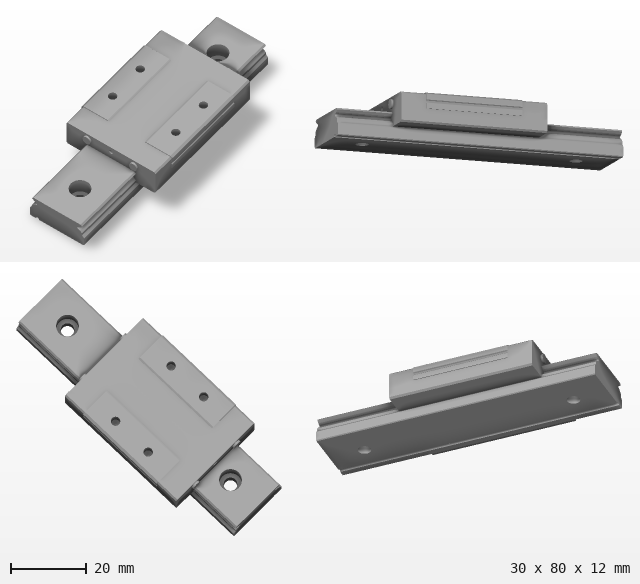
import cadquery as cq
import math

RAIL_LENGTH = 80.0
TOTAL_WIDTH = 30.0
TOTAL_HEIGHT = 12.0

RAIL_WIDTH = 18.0
RAIL_HEIGHT = 7.5
RAIL_EDGE_CHAMFER = 0.2
BASE_HEIGHT = 2.9
SHOULDER_TOP = 4.4
SHOULDER_STEP = 0.7
HEAD_CHAMFER = 0.5
RACE_Z = 5.8
RACE_DEPTH = 1.7
RACE_MOUTH_DEPTH = 0.7
RACE_MOUTH_HALF = 0.68
RACE_NOSE_DEPTH = 1.3
RACE_NOSE_HALF = 0.4
MARK_GROOVE_X = -6.5
MARK_GROOVE_RADIUS = 0.6

RAIL_HOLE_SPACING = 60.0
RAIL_HOLE_DIAMETER = 3.6
COUNTERBORE_DIAMETER = 6.0
COUNTERBORE_DEPTH = 4.5

SLIDER_Y = 3.9
SLIDER_LENGTH = 41.0
CARRIAGE_LENGTH = 27.0
SLIDER_BOTTOM = 3.6
SLIDER_CHAMFER = 0.5
CAP_WIDTH = 29.6
CAP_TOP = 11.8
CAP_LENGTH = (SLIDER_LENGTH - CARRIAGE_LENGTH) / 2

CARRIAGE_TOP_HALF = CAP_WIDTH / 2 - SLIDER_CHAMFER
SIDE_STEP_Z = 7.6
SIDE_GROOVE_Z = 9.5
SIDE_GROOVE_MOUTH = 1.0
SIDE_GROOVE_FLOOR = 0.5
SIDE_GROOVE_DEPTH = 0.2
RECESS_TOP_WIDTH = 12.8
RECESS_FLOOR_WIDTH = 11.8
TAPPED_SPACING_X = 21.0
TAPPED_SPACING_Y = 12.0
TAPPED_DIAMETER = 2.5
TAPPED_DEPTH = 3.0
DRILL_POINT_ANGLE = 118.0

SCREW_X = 7.7
SCREW_Z = 9.8
SCREW_HEAD_DIAMETER = 2.6
SCREW_HEAD_HEIGHT = 0.6
PORT_Z = 10.0
PORT_DIAMETER = 1.4


def extrude_along_y(outline, y_centre, length):
    """Turn an XZ outline into a prism centred on y_centre."""
    return outline.extrude(length / 2, both=True).translate((0, y_centre, 0))


def rail_prism():
    """Rail bar with its ball races, without holes and reference groove."""
    half = RAIL_WIDTH / 2
    shoulder = half - SHOULDER_STEP
    mouth = shoulder - RACE_MOUTH_DEPTH
    nose = shoulder - RACE_NOSE_DEPTH
    race_bottom = shoulder - RACE_DEPTH
    mouth_low, mouth_high = RACE_Z - RACE_MOUTH_HALF, RACE_Z + RACE_MOUTH_HALF
    nose_low, nose_high = RACE_Z - RACE_NOSE_HALF, RACE_Z + RACE_NOSE_HALF
    outline = (
        cq.Workplane("XZ")
        .moveTo(0, 0)
        .lineTo(half - RAIL_EDGE_CHAMFER, 0)
        .lineTo(half, RAIL_EDGE_CHAMFER)
        .lineTo(half, BASE_HEIGHT)
        .lineTo(shoulder, BASE_HEIGHT + SHOULDER_STEP)
        .lineTo(shoulder, SHOULDER_TOP)
        .lineTo(mouth, mouth_low)
        .lineTo(nose, nose_low)
        .threePointArc((race_bottom, RACE_Z), (nose, nose_high))
        .lineTo(mouth, mouth_high)
        .lineTo(shoulder, RAIL_HEIGHT - HEAD_CHAMFER)
        .lineTo(shoulder - HEAD_CHAMFER, RAIL_HEIGHT)
        .lineTo(0, RAIL_HEIGHT)
        .mirrorY()
    )
    return extrude_along_y(outline, 0, RAIL_LENGTH)


def make_rail():
    mark_groove = extrude_along_y(
        cq.Workplane("XZ").center(MARK_GROOVE_X, 0).circle(MARK_GROOVE_RADIUS), 0, RAIL_LENGTH
    )
    return (
        rail_prism()
        .cut(mark_groove)
        .faces(">Z")
        .workplane(origin=(0, 0, 0))
        .rarray(0.8, RAIL_HOLE_SPACING, 1, 2)
        .cboreHole(RAIL_HOLE_DIAMETER, COUNTERBORE_DIAMETER, COUNTERBORE_DEPTH)
    )


def carriage_prism():
    """Solid carriage block with side grooves and the recess between its top pads."""
    low_half = CAP_WIDTH / 2
    half = TOTAL_WIDTH / 2
    groove_half = half - SIDE_GROOVE_DEPTH
    outline = (
        cq.Workplane("XZ")
        .moveTo(0, SLIDER_BOTTOM)
        .lineTo(low_half - SLIDER_CHAMFER, SLIDER_BOTTOM)
        .lineTo(low_half, SLIDER_BOTTOM + SLIDER_CHAMFER)
        .lineTo(low_half, SIDE_STEP_Z)
        .lineTo(half, SIDE_STEP_Z)
        .lineTo(half, SIDE_GROOVE_Z - SIDE_GROOVE_MOUTH / 2)
        .lineTo(groove_half, SIDE_GROOVE_Z - SIDE_GROOVE_FLOOR / 2)
        .lineTo(groove_half, SIDE_GROOVE_Z + SIDE_GROOVE_FLOOR / 2)
        .lineTo(half, SIDE_GROOVE_Z + SIDE_GROOVE_MOUTH / 2)
        .lineTo(half, TOTAL_HEIGHT - SLIDER_CHAMFER)
        .lineTo(CARRIAGE_TOP_HALF, TOTAL_HEIGHT)
        .lineTo(RECESS_TOP_WIDTH / 2, TOTAL_HEIGHT)
        .lineTo(RECESS_FLOOR_WIDTH / 2, CAP_TOP)
        .lineTo(0, CAP_TOP)
        .mirrorY()
    )
    return extrude_along_y(outline, SLIDER_Y, CARRIAGE_LENGTH)


def tapped_hole():
    """Blind drilled hole, revolved about Z, opening upward at the origin."""
    radius = TAPPED_DIAMETER / 2
    point_height = radius / math.tan(math.radians(DRILL_POINT_ANGLE / 2))
    return (
        cq.Workplane("XZ")
        .moveTo(0, 0)
        .lineTo(radius, 0)
        .lineTo(radius, -TAPPED_DEPTH)
        .lineTo(0, -TAPPED_DEPTH - point_height)
        .close()
        .revolve(360, (0, 0, 0), (0, 1, 0))
    )


def make_carriage():
    carriage = carriage_prism().cut(rail_prism())
    for x_side in (-1, 1):
        for y_side in (-1, 1):
            x = x_side * TAPPED_SPACING_X / 2
            y = SLIDER_Y + y_side * TAPPED_SPACING_Y / 2
            carriage = carriage.cut(tapped_hole().translate((x, y, TOTAL_HEIGHT)))
    return carriage


def make_end_cap(side):
    """End cap on the -Y (side = -1) or +Y (side = 1) end of the carriage."""
    cap_y = SLIDER_Y + side * (CARRIAGE_LENGTH + CAP_LENGTH) / 2
    head_y = SLIDER_Y + side * (SLIDER_LENGTH + SCREW_HEAD_HEIGHT) / 2
    block = (
        cq.Workplane("XY")
        .box(CAP_WIDTH, CAP_LENGTH, CAP_TOP - SLIDER_BOTTOM)
        .edges("|Y")
        .chamfer(SLIDER_CHAMFER)
        .translate((0, cap_y, (CAP_TOP + SLIDER_BOTTOM) / 2))
    )
    screw_heads = extrude_along_y(
        cq.Workplane("XZ")
        .pushPoints([(-SCREW_X, SCREW_Z), (SCREW_X, SCREW_Z)])
        .circle(SCREW_HEAD_DIAMETER / 2),
        head_y,
        SCREW_HEAD_HEIGHT,
    )
    port = extrude_along_y(
        cq.Workplane("XZ").center(0, PORT_Z).circle(PORT_DIAMETER / 2), cap_y, CAP_LENGTH
    )
    return block.cut(rail_prism()).cut(port).union(screw_heads)


rail = make_rail()
carriage = make_carriage()
end_caps = [make_end_cap(side) for side in (-1, 1)]

bodies = [rail, carriage, *end_caps]
result = cq.Compound.makeCompound([body.solids().val() for body in bodies])